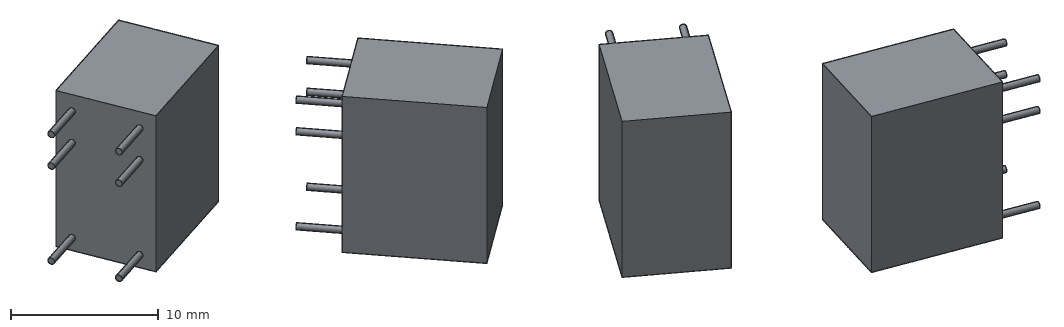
import cadquery as cq

body_width = 7.5
body_depth = 9.91
body_height = 12.5

pin_diameter = 0.5
pin_length = 3.3
pin_pitch = 2.54
column_spacing = 2 * pin_pitch
bottom_pin_height = 1.05
pin_rows = (0, 3, 4)

body = cq.Workplane("XY").box(body_width, body_depth, body_height, centered=(True, False, False))

pin_centres = [
    (side * column_spacing / 2, bottom_pin_height + row * pin_pitch)
    for side in (-1, 1)
    for row in pin_rows
]

pins = cq.Workplane("XZ").pushPoints(pin_centres).circle(pin_diameter / 2).extrude(pin_length)

result = body.union(pins)